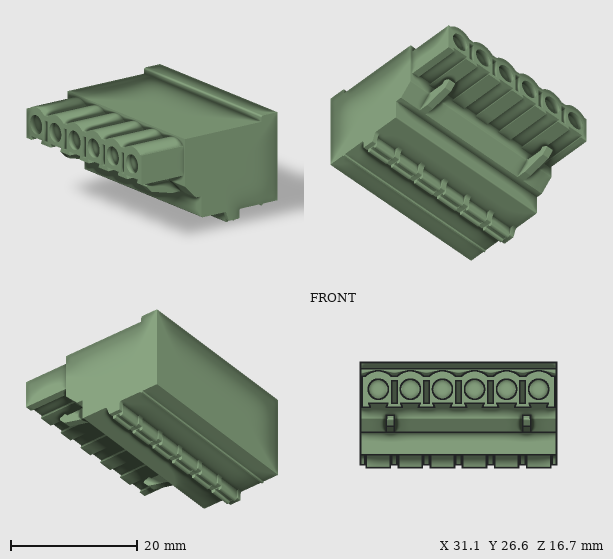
import cadquery as cq


pole_count = 6
block_width = 30.48
pitch = block_width / pole_count
width = 31.1
pole_positions = [(i - (pole_count - 1) / 2) * pitch for i in range(pole_count)]
inner_gap_positions = [(i - pole_count / 2) * pitch for i in range(1, pole_count)]
all_gap_positions = [(i - pole_count / 2) * pitch for i in range(pole_count + 1)]

housing_depth = 18.25
base_depth = 14.95
housing_height = 13.65
step_height = 3.55
bevel_top = 5.72
lip_depth = 3.17
lip_height = 14.65
lip_fillet = 0.3
base_edge_fillet = 0.2
bevel_edge_fillet = 0.25

total_depth = 26.6
block_bottom = 7.55
shoulder_height = 12.45
barrel_top = 13.3
barrel_width = 4.17
hole_height = 10.4
hole_diameter = 3.17
hole_depth = 0.93
slot_width = 0.87
slot_bottom = 8.18
slot_top = 11.7
notch_top_width = 3.05
notch_mouth_width = 2.52
notch_height = 0.62

latch_spacing = 21.58
latch_width = 1.28
latch_top = 5.75
latch_root = 15.55
latch_slope_start = 17.75
latch_bend = (21.83, 4.55)
hook_nose = (22.95, 5.7)
hook_tip = (21.75, 6.28)
hook_base_depth = 21.27
hook_nose_fillet = 0.25
hook_tip_fillet = 0.12
latch_root_chamfer = 0.28

foot_width = 3.83
foot_back = 7.62
foot_front = 9.6
foot_bottom = -2.05
foot_wall = 0.65
foot_round = 0.28
rib_width = 0.9
rib_back = 7.5
rib_front_top = 10.17
rib_bottom = -1.6
rib_front_root_fillet = 0.47
rib_back_root_fillet = 0.25
rib_tip_fillet = 0.15
ridge_back = 2.85
ridge_front = 3.35
ridge_height = 0.25

overlap = 0.3


def side_prism(points, center_x, length):
    """Extrude a (depth, height) outline along X, centred on center_x."""
    outline = [(-depth, height) for depth, height in points]
    plane = cq.Workplane("YZ", origin=(center_x - length / 2, 0, 0))
    return plane.polyline(outline).close().extrude(length)


def front_plane(depth):
    """Plane facing the front, at the given distance from the back face."""
    return cq.Workplane("XZ", origin=(0, -depth, 0))


def edge_along_x(body, depth, height):
    """The edge parallel to X that lies nearest the given depth and height."""
    center_x = body.val().Center().x
    return body.edges("|X").edges(cq.selectors.NearestToPointSelector((center_x, -depth, height)))


def make_housing():
    bevel_bottom_depth = housing_depth - (bevel_top - step_height)
    body = side_prism(
        [
            (0, 0),
            (base_depth, 0),
            (base_depth, step_height),
            (bevel_bottom_depth, step_height),
            (housing_depth, bevel_top),
            (housing_depth, housing_height),
            (lip_depth, housing_height),
            (lip_depth, lip_height),
            (0, lip_height),
        ],
        0,
        width,
    )
    body = edge_along_x(body, lip_depth, lip_height).fillet(lip_fillet)
    body = edge_along_x(body, base_depth, 0).fillet(base_edge_fillet)
    return edge_along_x(body, housing_depth, bevel_top).fillet(bevel_edge_fillet)


def make_socket_block():
    """Block whose top rises in an arched barrel over each pole."""
    start = housing_depth - overlap
    right_side = block_width / 2
    outline = front_plane(start).moveTo(right_side, block_bottom).lineTo(-right_side, block_bottom)
    outline = outline.lineTo(-right_side, shoulder_height)
    for x in pole_positions:
        outline = outline.lineTo(x - barrel_width / 2, shoulder_height)
        outline = outline.threePointArc((x, barrel_top), (x + barrel_width / 2, shoulder_height))
    outline = outline.lineTo(right_side, shoulder_height).close()
    return outline.extrude(total_depth - start)


def make_holes():
    centers = [(x, hole_height) for x in pole_positions]
    floor = front_plane(total_depth - hole_depth)
    return floor.pushPoints(centers).circle(hole_diameter / 2).extrude(hole_depth)


def make_slots():
    centers = [(x, (slot_bottom + slot_top) / 2) for x in inner_gap_positions]
    slots = front_plane(housing_depth).pushPoints(centers).rect(slot_width, slot_top - slot_bottom)
    return slots.extrude(total_depth - housing_depth)


def make_notch(x):
    """Dovetail groove along the underside of one pole."""
    outline = [
        (x - notch_mouth_width / 2, block_bottom),
        (x + notch_mouth_width / 2, block_bottom),
        (x + notch_top_width / 2, block_bottom + notch_height),
        (x - notch_top_width / 2, block_bottom + notch_height),
    ]
    notch = front_plane(housing_depth).polyline(outline).close()
    return notch.extrude(total_depth - housing_depth)


def make_latch(x):
    """Hooked arm reaching forward from the bevel below the socket block."""
    arm = [
        (latch_root, step_height),
        (latch_slope_start, step_height),
        latch_bend,
        hook_nose,
        hook_tip,
        (hook_base_depth, latch_top),
        (housing_depth + latch_root_chamfer, latch_top),
        (housing_depth, latch_top + latch_root_chamfer),
        (latch_root, latch_top + latch_root_chamfer),
    ]
    latch = side_prism(arm, x, latch_width)
    latch = edge_along_x(latch, *hook_nose).fillet(hook_nose_fillet)
    return edge_along_x(latch, *hook_tip).fillet(hook_tip_fillet)


def make_foot(x):
    """Foot under one pole, ending in two rounded toes."""
    foot = side_prism(
        [
            (foot_back, overlap),
            (foot_front, overlap),
            (foot_front, foot_bottom),
            (foot_front - foot_wall, foot_bottom),
            (foot_front - foot_wall, rib_bottom),
            (foot_back + foot_wall, rib_bottom),
            (foot_back + foot_wall, foot_bottom),
            (foot_back, foot_bottom),
        ],
        x,
        foot_width,
    )
    lowest_face_edges = foot.faces("<Z").edges("|X")
    return lowest_face_edges.fillet(foot_round)


def make_ribs():
    """Tapered ribs between the feet; the two outermost end flush with the housing sides."""
    plate = side_prism(
        [
            (0, overlap),
            (base_depth - overlap, overlap),
            (base_depth - overlap, 0),
            (rib_front_top, 0),
            (foot_front, rib_bottom),
            (rib_back, rib_bottom),
            (rib_back, 0),
            (0, 0),
        ],
        0,
        width,
    )
    plate = edge_along_x(plate, rib_front_top, 0).fillet(rib_front_root_fillet)
    plate = edge_along_x(plate, rib_back, 0).fillet(rib_back_root_fillet)
    for depth in (foot_front, rib_back):
        plate = edge_along_x(plate, depth, rib_bottom).fillet(rib_tip_fillet)
    bands = cq.Workplane("XY").workplane(offset=rib_bottom)
    bands = bands.pushPoints([(x, 0) for x in all_gap_positions])
    bands = bands.rect(rib_width, 2 * base_depth).extrude(overlap - rib_bottom)
    return plate.intersect(bands)


def make_ridge():
    """Low ridge across the whole underside, near the back."""
    return side_prism(
        [
            (ridge_back, overlap),
            (ridge_back, 0),
            (ridge_back + ridge_height / 2, -ridge_height),
            (ridge_front - ridge_height / 2, -ridge_height),
            (ridge_front, 0),
            (ridge_front, overlap),
        ],
        0,
        width,
    )


result = make_housing().union(make_socket_block())
result = result.cut(make_holes()).cut(make_slots())
for pole_x in pole_positions:
    result = result.cut(make_notch(pole_x)).union(make_foot(pole_x))
for latch_x in (-latch_spacing / 2, latch_spacing / 2):
    result = result.union(make_latch(latch_x))
result = result.union(make_ribs()).union(make_ridge())